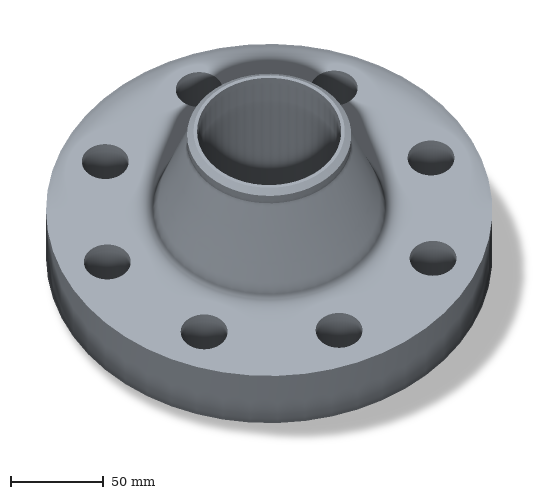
import cadquery as cq
import math

flange_diameter = 241.2
flange_thickness = 38.0
raised_face_diameter = 155.4
raised_face_height = 8.0
total_height = 109.5

hub_base_diameter = 127.1
weld_end_diameter = 88.8
weld_end_length = 8.7
bore_diameter = 78.0
bevel_angle = 37.5
weld_land = 2.0
hub_fillet_radius = 3.0

bolt_count = 8
bolt_circle_diameter = 190.5
bolt_hole_diameter = 25.3

flange_bottom = raised_face_height
flange_top = flange_bottom + flange_thickness
taper_top = total_height - weld_end_length
weld_end_radius = weld_end_diameter / 2
weld_tip_radius = bore_diameter / 2 + weld_land
bevel_height = (weld_end_radius - weld_tip_radius) * math.tan(math.radians(bevel_angle))


def flange_plate():
    raised_face = cq.Workplane("XY").circle(raised_face_diameter / 2).extrude(raised_face_height)
    plate = (
        cq.Workplane("XY", origin=(0, 0, flange_bottom))
        .circle(flange_diameter / 2)
        .extrude(flange_thickness)
    )
    return raised_face.union(plate)


def hub():
    """Solid of revolution: tapered hub, straight weld end and bevel."""
    return (
        cq.Workplane("XZ")
        .moveTo(0, flange_bottom)
        .lineTo(hub_base_diameter / 2, flange_bottom)
        .lineTo(hub_base_diameter / 2, flange_top)
        .lineTo(weld_end_radius, taper_top)
        .lineTo(weld_end_radius, total_height - bevel_height)
        .lineTo(weld_tip_radius, total_height)
        .lineTo(0, total_height)
        .close()
        .revolve(360, (0, 0, 0), (0, 1, 0))
    )


def fillet_hub_root(body):
    point_on_plate_top = (bolt_circle_diameter / 2, 0, flange_top)
    plate_top = body.faces(cq.selectors.NearestToPointSelector(point_on_plate_top))
    root_edge = plate_top.edges(cq.selectors.RadiusNthSelector(0))
    return root_edge.fillet(hub_fillet_radius)


def bore():
    return cq.Workplane("XY").circle(bore_diameter / 2).extrude(total_height)


def bolt_holes():
    return (
        cq.Workplane("XY", origin=(0, 0, flange_bottom))
        .polarArray(bolt_circle_diameter / 2, 0, 360, bolt_count)
        .circle(bolt_hole_diameter / 2)
        .extrude(flange_thickness)
    )


blank = fillet_hub_root(flange_plate().union(hub()))
result = blank.cut(bore()).cut(bolt_holes())